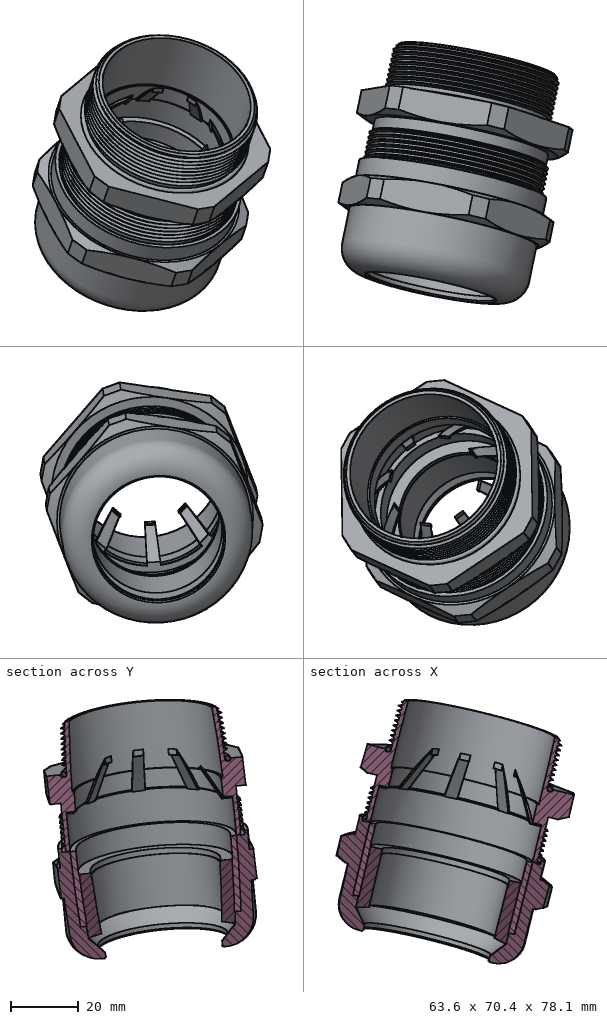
import cadquery as cq
import math

LEAN_ANGLE = 14.8
LEAN_HEADING = 68.0
HEX_TURN = -92.5
AXIS_X = -0.15
AXIS_Y = -0.4

PITCH = 1.5
FLANK_ANGLE = 22.0
UPPER_CREST_R = 50.0 / 2
UPPER_ROOT_R = 47.85 / 2
UPPER_TOP_CREST = 33.55
UPPER_RIDGES = 9
LOWER_CREST_R = 53.95 / 2
LOWER_ROOT_R = 52.1 / 2
LOWER_TOP_CREST = 6.95
LOWER_RIDGES = 6

HEX_FLATS = 58.0
HEX_CORNER_FLATS = 63.9
HEX_CHAMFER_ANGLE = 26.0

NIPPLE_TOP = 34.0
NIPPLE_RIM_R = 47.2 / 2
NIPPLE_HEX_TOP = 18.9
NIPPLE_HEX_BOTTOM = 10.6
NIPPLE_NECK_R = 52.3 / 2
NIPPLE_BOTTOM = -3.3
ENTRY_BORE_R = 45.0 / 2
ENTRY_BORE_BOTTOM = 13.7
MIDDLE_BORE_R = 43.8 / 2
SHOULDER = 7.9
LOWER_BORE_R = 49.3 / 2

CAP_R = 56.45 / 2
CAP_TOP = -2.1
CAP_HEX_TOP = -7.7
CAP_HEX_BOTTOM = -16.6
CAP_BOTTOM = -34.9
CAP_ROUND = 7.7
CAP_BORE_R = 54.2 / 2
CAP_LIP_R = 38.6 / 2
CAP_LIP_CHAMFER = 0.5
CAP_LIP_TOP = -33.0
CAP_CONE_TOP = -28.55
CAP_BORE_BOTTOM = -25.0

SEAL_R = 45.9 / 2
SEAL_BORE_R = 38.4 / 2
SEAL_MOUTH_R = 38.6 / 2
SEAL_MOUTH_BOTTOM = -11.7
SEAL_TOP = -10.0
SEAL_BORE_BOTTOM = -27.6
CAGE_TOP = -3.3

SPRING_THICKNESS = 0.5
SPRING_RING_R = 45.2 / 2
FINGER_COUNT = 8
FINGER_ROOT_WIDTH = 4.3
FINGER_TIP_WIDTH = 3.05
FINGER_TIP_R = 13.6
FINGER_TIP_HEIGHT = 21.75
FINGER_LIP = 1.9
FINGER_BOW = 0.4
FINGER_TURN = 32.5

ORING_SECTION_R = 0.8


def revolved(points):
    """Solid of revolution from (radius, height) points."""
    return cq.Workplane("XZ").polyline(points).close().revolve(360, (0, 0, 0), (0, 1, 0))


def ring(inner_r, outer_r, bottom, top):
    return revolved([(inner_r, bottom), (outer_r, bottom), (outer_r, top), (inner_r, top)])


def thread_points(crest_r, root_r, top_crest, ridges):
    """Outline of a ridged thread, from the crest of its top ridge down."""
    half_base = (crest_r - root_r) * math.tan(math.radians(FLANK_ANGLE))
    points = []
    for i in range(ridges):
        crest = top_crest - i * PITCH
        points += [(root_r, crest + half_base), (crest_r, crest), (root_r, crest - half_base)]
    return points


def hexagon(flats, bottom, top):
    prism = cq.Workplane("XY").workplane(offset=bottom)
    return prism.polygon(6, flats / math.cos(math.pi / 6)).extrude(top - bottom)


def hex_prism(bottom, top, chamfer_top):
    """Hexagon with flat blunted corners, coned at the bottom and, if asked, at the top."""
    blunting = hexagon(HEX_CORNER_FLATS, bottom, top).rotate((0, 0, 0), (0, 0, 1), 30)
    prism = hexagon(HEX_FLATS, bottom, top).intersect(blunting)
    flats_r = HEX_FLATS / 2
    corner_r = HEX_CORNER_FLATS / 2 + 0.8
    drop = (corner_r - flats_r) * math.tan(math.radians(HEX_CHAMFER_ANGLE))
    outline = [(0, bottom), (flats_r, bottom), (corner_r, bottom + drop)]
    if chamfer_top:
        outline += [(corner_r, top - drop), (flats_r, top), (0, top)]
    else:
        outline += [(corner_r, top), (0, top)]
    return prism.intersect(revolved(outline))


def make_oring():
    centre_r = UPPER_ROOT_R + ORING_SECTION_R
    section = cq.Workplane("XZ").center(centre_r, NIPPLE_HEX_TOP).circle(ORING_SECTION_R)
    return section.revolve(360, (-centre_r, 0, 0), (-centre_r, 1, 0))


def make_nipple(oring):
    neck_bottom = LOWER_TOP_CREST + PITCH / 4
    lower_top_crest = neck_bottom - PITCH / 2
    outline = [(MIDDLE_BORE_R, NIPPLE_TOP), (UPPER_ROOT_R, NIPPLE_TOP)]
    outline += thread_points(UPPER_CREST_R, UPPER_ROOT_R, UPPER_TOP_CREST, UPPER_RIDGES)
    outline += [(UPPER_ROOT_R, NIPPLE_HEX_BOTTOM), (NIPPLE_NECK_R, NIPPLE_HEX_BOTTOM)]
    outline += [(NIPPLE_NECK_R, neck_bottom), (LOWER_ROOT_R, neck_bottom)]
    outline += thread_points(LOWER_CREST_R, LOWER_ROOT_R, lower_top_crest, LOWER_RIDGES)
    outline += [(LOWER_ROOT_R, NIPPLE_BOTTOM), (MIDDLE_BORE_R, NIPPLE_BOTTOM)]
    body = revolved(outline).union(hex_prism(NIPPLE_HEX_BOTTOM, NIPPLE_HEX_TOP, False))
    reach = NIPPLE_TOP - NIPPLE_BOTTOM
    rim_cone = [(0, NIPPLE_TOP), (NIPPLE_RIM_R, NIPPLE_TOP)]
    rim_cone += [(NIPPLE_RIM_R + reach, NIPPLE_BOTTOM), (0, NIPPLE_BOTTOM)]
    body = body.intersect(revolved(rim_cone))
    body = body.cut(ring(0, MIDDLE_BORE_R, NIPPLE_BOTTOM, NIPPLE_TOP))
    body = body.cut(ring(0, ENTRY_BORE_R, ENTRY_BORE_BOTTOM, NIPPLE_TOP))
    body = body.cut(ring(0, LOWER_BORE_R, NIPPLE_BOTTOM, SHOULDER))
    return body.cut(oring)


def make_cap():
    body = ring(0, CAP_R, CAP_BOTTOM, CAP_TOP)
    body = body.faces("<Z").edges().fillet(CAP_ROUND)
    body = body.union(hex_prism(CAP_HEX_BOTTOM, CAP_HEX_TOP, True))
    bore = revolved(
        [
            (0, CAP_TOP),
            (CAP_BORE_R, CAP_TOP),
            (CAP_BORE_R, NIPPLE_BOTTOM),
            (LOWER_BORE_R, NIPPLE_BOTTOM),
            (LOWER_BORE_R, CAP_BORE_BOTTOM),
            (SEAL_R, CAP_BORE_BOTTOM),
            (SEAL_R, CAP_CONE_TOP),
            (CAP_LIP_R, CAP_LIP_TOP),
            (CAP_LIP_R, CAP_BOTTOM + CAP_LIP_CHAMFER),
            (CAP_LIP_R + CAP_LIP_CHAMFER, CAP_BOTTOM),
            (0, CAP_BOTTOM),
        ]
    )
    return body.cut(bore)


def make_seal():
    """Sleeve with a wider mouth, its bottom coned down to the top of the cap's cone."""
    return revolved(
        [
            (SEAL_MOUTH_R, SEAL_TOP),
            (SEAL_R, SEAL_TOP),
            (SEAL_R, CAP_CONE_TOP),
            (SEAL_BORE_R, SEAL_BORE_BOTTOM),
            (SEAL_BORE_R, SEAL_MOUTH_BOTTOM),
            (SEAL_MOUTH_R, SEAL_MOUTH_BOTTOM),
        ]
    )


def make_cage():
    return ring(SEAL_R, LOWER_BORE_R, CAP_BORE_BOTTOM, CAGE_TOP)


def make_finger():
    """Bowed finger along +X, narrowing towards its tip."""
    base = SHOULDER - SPRING_THICKNESS
    root_r = MIDDLE_BORE_R
    anchor_r = SPRING_RING_R + SPRING_THICKNESS
    lip_r = FINGER_TIP_R + SPRING_THICKNESS
    lip_bottom = FINGER_TIP_HEIGHT - FINGER_LIP
    middle_height = (SHOULDER + FINGER_TIP_HEIGHT) / 2
    middle_r = (root_r + FINGER_TIP_R) / 2 + FINGER_BOW
    strip = (
        cq.Workplane("XZ")
        .moveTo(anchor_r, base)
        .lineTo(root_r - SPRING_THICKNESS, base)
        .threePointArc(
            (middle_r - SPRING_THICKNESS, middle_height - SPRING_THICKNESS),
            (lip_r, FINGER_TIP_HEIGHT - 2 * SPRING_THICKNESS),
        )
        .lineTo(lip_r, lip_bottom)
        .lineTo(FINGER_TIP_R, lip_bottom)
        .lineTo(FINGER_TIP_R, FINGER_TIP_HEIGHT)
        .threePointArc((middle_r, middle_height), (root_r, SHOULDER))
        .lineTo(anchor_r, SHOULDER)
        .close()
        .extrude(FINGER_ROOT_WIDTH / 2, both=True)
    )
    taper = (
        cq.Workplane("XY")
        .workplane(offset=base)
        .polyline(
            [
                (FINGER_TIP_R, -FINGER_TIP_WIDTH / 2),
                (LOWER_BORE_R, -FINGER_ROOT_WIDTH / 2),
                (LOWER_BORE_R, FINGER_ROOT_WIDTH / 2),
                (FINGER_TIP_R, FINGER_TIP_WIDTH / 2),
            ]
        )
        .close()
        .extrude(FINGER_TIP_HEIGHT - base)
    )
    nipple_wall = ring(MIDDLE_BORE_R, LOWER_BORE_R, SHOULDER, FINGER_TIP_HEIGHT)
    return strip.intersect(taper).cut(nipple_wall)


def make_spring():
    body = ring(SPRING_RING_R, LOWER_BORE_R, SHOULDER - SPRING_THICKNESS, SHOULDER)
    finger = make_finger()
    for i in range(FINGER_COUNT):
        angle = FINGER_TURN + i * 360 / FINGER_COUNT
        body = body.union(finger.rotate((0, 0, 0), (0, 0, 1), angle))
    return body


def placed(body):
    """Turn a body about the gland axis, lean it and move it into place."""
    z_axis = ((0, 0, 0), (0, 0, 1))
    body = body.rotate(*z_axis, HEX_TURN)
    body = body.rotate((0, 0, 0), (0, 1, 0), LEAN_ANGLE)
    return body.rotate(*z_axis, LEAN_HEADING).translate((AXIS_X, AXIS_Y, 0))


oring = make_oring()
nipple = make_nipple(oring)
bodies = [nipple, make_cap(), make_seal(), make_cage(), make_spring(), oring]
result = cq.Compound.makeCompound([placed(body).val() for body in bodies])